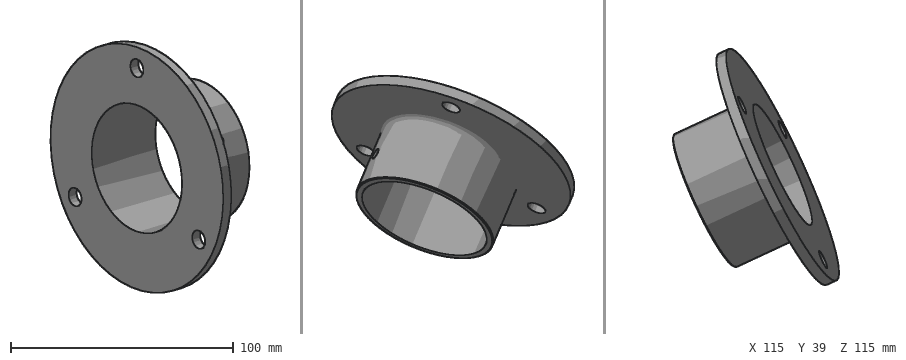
import cadquery as cq
import math

flange_diameter = 115.0
flange_thickness = 5.0
overall_depth = 39.0

collar_diameter = 66.1
bore_diameter = 60.0
root_fillet = 4.0
rim_chamfer = 0.5

mount_hole_count = 3
mount_hole_diameter = 8.5
mount_circle_radius = 47.5

screw_hole_diameter = 5.0
screw_hole_from_rim = 15.6
screw_hole_angle = 27.0


def flanged_collar():
    """Revolve the solid half section about Y, then open the bore."""
    flange_radius = flange_diameter / 2
    collar_radius = collar_diameter / 2
    body = (
        cq.Workplane("YZ")
        .lineTo(0, flange_radius)
        .lineTo(flange_thickness, flange_radius)
        .lineTo(flange_thickness, collar_radius + root_fillet)
        .radiusArc((flange_thickness + root_fillet, collar_radius), -root_fillet)
        .lineTo(overall_depth - rim_chamfer, collar_radius)
        .lineTo(overall_depth, collar_radius - rim_chamfer)
        .lineTo(overall_depth, 0)
        .close()
        .revolve(360, (0, 0, 0), (1, 0, 0))
    )
    bore = cq.Workplane("XZ").circle(bore_diameter / 2).extrude(-overall_depth)
    return body.cut(bore)


def mount_holes():
    return (
        cq.Workplane("XZ")
        .polarArray(mount_circle_radius, 90, 360, mount_hole_count)
        .circle(mount_hole_diameter / 2)
        .extrude(-flange_thickness)
    )


def screw_hole():
    angle = math.radians(screw_hole_angle)
    outward = cq.Vector(math.cos(angle), 0, math.sin(angle))
    start = cq.Vector(0, overall_depth - screw_hole_from_rim, 0)
    return cq.Solid.makeCylinder(screw_hole_diameter / 2, collar_diameter, start, outward)


result = flanged_collar().cut(mount_holes()).cut(screw_hole())